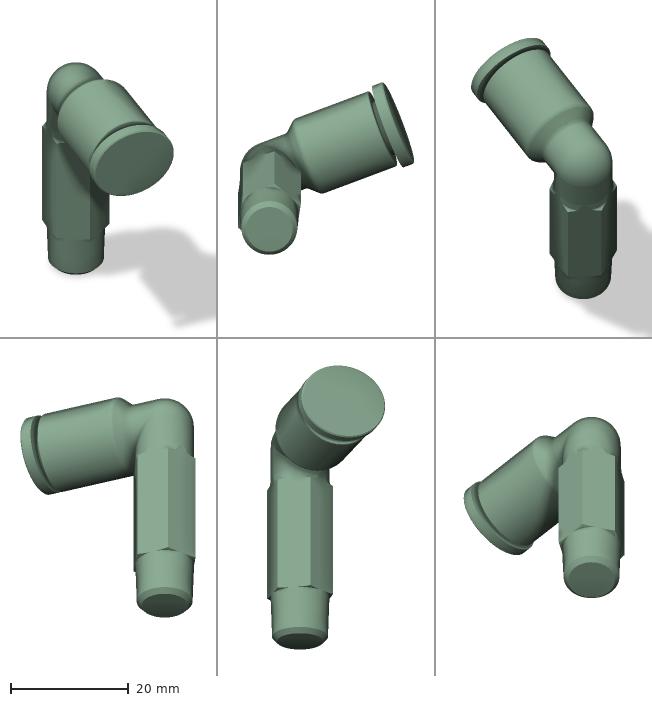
import cadquery as cq
import math


CHAMFER_TOP_Z = 0.85
HEX_BOTTOM_Z = 8.05
HEX_TOP_Z = 27.95
COLLAR_TOP_Z = 29.55
OVERALL_HEIGHT = 42.1

THREAD_TIP_RADIUS = 3.95
THREAD_LOW_RADIUS = 4.75
THREAD_TOP_RADIUS = 5.0

HEX_FLATS = 9.98
HEX_CORNER_RADIUS = HEX_FLATS / 2 / math.cos(math.pi / 6)
HEX_FACE_RADIUS = 5.15
CORNER_BEVEL_HEIGHT = 0.15

COLLAR_BASE_RADIUS = 5.15
COLLAR_FLARE = 0.15

ELBOW_RADIUS = HEX_FLATS / 2

SOCKET_RADIUS = 6.8
SOCKET_AXIS_Z = OVERALL_HEIGHT - SOCKET_RADIUS
CONE_START_X = 5.05
CONE_END_X = 7.07
CONE_BLEND_RADIUS = 0.93
SOCKET_END_X = 20.7
SOCKET_END_CHAMFER = 0.13

NECK_RADIUS = 4.85
RING_START_X = 21.65
RING_END_X = 23.6
RING_HALF_WIDTH = 7.5
RING_HALF_HEIGHT = 6.5
RING_CHAMFER = 0.2


def turned_about_z(points):
    """Solid of revolution about Z from a list of (radius, z) points."""
    return cq.Workplane("XZ").polyline(points).close().revolve(360, (0, 0), (0, 1))


def cross_section_at(x):
    """Plane square to the socket axis, local x along Y and local y along Z."""
    return cq.Workplane("YZ", origin=(x, 0, SOCKET_AXIS_Z))


def make_thread():
    return turned_about_z([
        (0, 0),
        (THREAD_TIP_RADIUS, 0),
        (THREAD_LOW_RADIUS, CHAMFER_TOP_Z),
        (THREAD_TOP_RADIUS, HEX_BOTTOM_Z),
        (0, HEX_BOTTOM_Z),
    ])


def make_hexagon():
    """Hexagonal bar trimmed by a turned shape that gives the bevels and the collar."""
    bar = (
        cq.Workplane("XY", origin=(0, 0, HEX_BOTTOM_Z))
        .polygon(6, 2 * HEX_CORNER_RADIUS)
        .extrude(COLLAR_TOP_Z - HEX_BOTTOM_Z)
    )
    turned = turned_about_z([
        (0, HEX_BOTTOM_Z),
        (HEX_FACE_RADIUS, HEX_BOTTOM_Z),
        (HEX_CORNER_RADIUS, HEX_BOTTOM_Z + CORNER_BEVEL_HEIGHT),
        (HEX_CORNER_RADIUS, HEX_TOP_Z - CORNER_BEVEL_HEIGHT),
        (COLLAR_BASE_RADIUS + COLLAR_FLARE, HEX_TOP_Z),
        (COLLAR_BASE_RADIUS, HEX_TOP_Z + COLLAR_FLARE),
        (ELBOW_RADIUS, COLLAR_TOP_Z),
        (0, COLLAR_TOP_Z),
    ])
    return bar.intersect(turned)


def make_elbow():
    """Upright leg and the spherical outer corner; the socket supplies the other leg."""
    leg = (
        cq.Workplane("XY", origin=(0, 0, COLLAR_TOP_Z))
        .circle(ELBOW_RADIUS)
        .extrude(SOCKET_AXIS_Z - COLLAR_TOP_Z)
    )
    corner = cq.Workplane("XY", origin=(0, 0, SOCKET_AXIS_Z)).sphere(ELBOW_RADIUS)
    return leg.union(corner)


def make_socket():
    """Horizontal leg that widens through a blended cone into the socket body."""
    body = (
        cq.Workplane("XZ", origin=(0, 0, SOCKET_AXIS_Z))
        .polyline([
            (0, 0),
            (0, ELBOW_RADIUS),
            (CONE_START_X, ELBOW_RADIUS),
            (CONE_END_X, SOCKET_RADIUS),
            (SOCKET_END_X, SOCKET_RADIUS),
            (SOCKET_END_X, 0),
        ])
        .close()
        .revolve(360, (0, 0), (1, 0))
    )
    body = body.edges("%CIRCLE").edges(">X").chamfer(SOCKET_END_CHAMFER)
    circles = body.edges("%CIRCLE").sort(lambda edge: edge.Center().x)
    return circles[1:3].fillet(CONE_BLEND_RADIUS)


def make_release_ring():
    """Oval ring carried on a short neck."""
    neck = cross_section_at(SOCKET_END_X).circle(NECK_RADIUS).extrude(RING_START_X - SOCKET_END_X)
    ring = (
        cross_section_at(RING_START_X)
        .ellipse(RING_HALF_WIDTH, RING_HALF_HEIGHT)
        .extrude(RING_END_X - RING_START_X)
        .faces(">X")
        .chamfer(RING_CHAMFER)
    )
    return neck.union(ring)


result = (
    make_thread()
    .union(make_hexagon())
    .union(make_elbow())
    .union(make_socket())
    .union(make_release_ring())
)